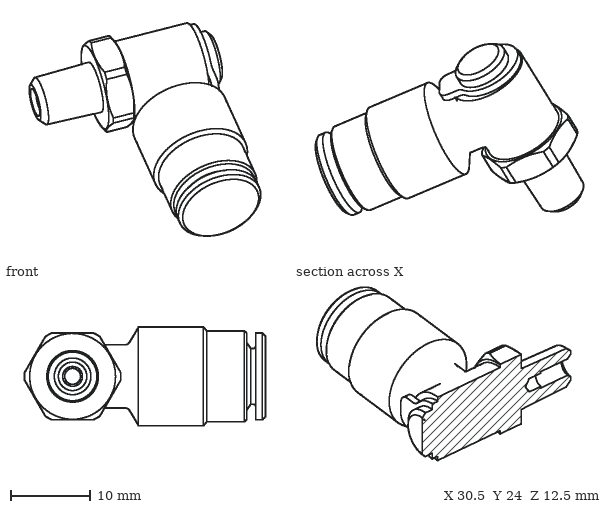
import cadquery as cq
import math


body_radius = 5.007
body_end_y = 5.05
boss_radius = 3.47
boss_end_y = 7.55
boss_chamfer_height = 0.5
boss_chamfer_width = 0.58

clip_radius = 4.38
clip_centre_x = -0.4
clip_thickness = 0.88
lug_end_x = 6.33
lug_half_width = 2.28
lug_corner_radius = 1.3
lug_root_radius = 1.05

nut_flats = 11.0
nut_corner_radius = 6.1
nut_start_y = -5.0
nut_end_y = -8.45
nut_face_radius = 5.42
nut_chamfer_height = 0.4

stem_end_y = -16.45
stem_root_radius = 3.25
stem_tip_radius = 3.07
stem_chamfer_height = 0.75
stem_face_radius = 2.3

mouth_radius = 1.8
mouth_depth = 0.55
bore_radius = 1.25
bore_depth = 4.87
pilot_radius = 1.0
pilot_depth = 6.7
drill_point_angle = 118.0

neck_radius = 8.0 / 2
neck_blend_radius = 0.4
cone_root_radius = 0.6
cone_start_x = 7.0
shoulder_x = 8.3
shell_radius = 12.5 / 2
shell_end_x = 16.5
sleeve_radius = 11.5 / 2
sleeve_start_x = 16.92
sleeve_end_x = 21.98
sleeve_chamfer = 0.3
collar_radius = 8.5 / 2
groove_radius = 7.1 / 2
groove_start_x = 22.45
groove_corner_radius = 0.25
release_ring_radius = 11.0 / 2
release_ring_start_x = 23.07
release_ring_end_x = 24.35
release_ring_chamfer = 0.43

edge_margin = 0.3


def turned_about_y(points):
    """Solid of revolution about Y from (radius, y) points."""
    return cq.Workplane("XY").polyline(points).close().revolve(360, (0, 0, 0), (0, 1, 0))


def cylinder_along_y(radius, start_y, end_y):
    return turned_about_y([(0, start_y), (radius, start_y), (radius, end_y), (0, end_y)])


def make_arm():
    profile = [
        (0, 0),
        (0, neck_radius),
        (cone_start_x, neck_radius),
        (shoulder_x, shell_radius),
        (shell_end_x, shell_radius),
        (sleeve_start_x, sleeve_radius),
        (sleeve_end_x - sleeve_chamfer, sleeve_radius),
        (sleeve_end_x, sleeve_radius - sleeve_chamfer),
        (sleeve_end_x, collar_radius),
        (groove_start_x, groove_radius),
        (release_ring_start_x, groove_radius),
        (release_ring_start_x, release_ring_radius),
        (release_ring_end_x - release_ring_chamfer, release_ring_radius),
        (release_ring_end_x, release_ring_radius - release_ring_chamfer),
        (release_ring_end_x, 0),
    ]
    arm = cq.Workplane("XY").polyline(profile).close().revolve(360, (0, 0, 0), (1, 0, 0))
    groove_corner = cq.selectors.BoxSelector(
        (release_ring_start_x - edge_margin, -groove_radius - edge_margin, -groove_radius - edge_margin),
        (release_ring_start_x + edge_margin, groove_radius + edge_margin, groove_radius + edge_margin),
        boundingbox=True,
    )
    return arm.edges(groove_corner).fillet(groove_corner_radius)


def make_body_with_arm():
    body = cylinder_along_y(body_radius, nut_start_y, body_end_y)
    joined = body.union(make_arm())
    saddle = cq.selectors.BoxSelector(
        (edge_margin, nut_start_y + edge_margin, -body_radius),
        (body_radius + edge_margin, body_end_y - edge_margin, body_radius),
        boundingbox=False,
    )
    cone_root = cq.selectors.BoxSelector(
        (cone_start_x - edge_margin, -neck_radius - edge_margin, -neck_radius - edge_margin),
        (cone_start_x + edge_margin, neck_radius + edge_margin, neck_radius + edge_margin),
        boundingbox=True,
    )
    return joined.edges(saddle).fillet(neck_blend_radius).edges(cone_root).fillet(cone_root_radius)


def make_boss():
    return turned_about_y([
        (0, body_end_y),
        (boss_radius, body_end_y),
        (boss_radius, boss_end_y - boss_chamfer_height),
        (boss_radius - boss_chamfer_width, boss_end_y),
        (0, boss_end_y),
    ])


def make_clip():
    plane = cq.Workplane("XZ", origin=(0, body_end_y, 0))
    disc = plane.center(clip_centre_x, 0).circle(clip_radius).extrude(-clip_thickness)
    lug = (
        plane.center(lug_end_x / 2, 0)
        .rect(lug_end_x, 2 * lug_half_width)
        .extrude(-clip_thickness)
        .edges("|Y and >X")
        .fillet(lug_corner_radius)
    )
    root_x = clip_centre_x + math.sqrt(clip_radius**2 - lug_half_width**2)
    roots = cq.selectors.BoxSelector(
        (root_x - edge_margin, body_end_y, -lug_half_width - edge_margin),
        (root_x + edge_margin, body_end_y + clip_thickness, lug_half_width + edge_margin),
    )
    clip = disc.union(lug)
    return clip.edges("|Y").edges(roots).fillet(lug_root_radius)


def make_nut():
    hexagon = (
        cq.Workplane("XZ", origin=(0, nut_start_y, 0))
        .polygon(6, nut_flats / math.cos(math.pi / 6))
        .extrude(nut_start_y - nut_end_y)
    )
    envelope = turned_about_y([
        (0, nut_end_y),
        (nut_face_radius, nut_end_y),
        (nut_corner_radius, nut_end_y + nut_chamfer_height),
        (nut_corner_radius, nut_start_y - nut_chamfer_height),
        (nut_face_radius, nut_start_y),
        (0, nut_start_y),
    ])
    return hexagon.intersect(envelope)


def make_stem():
    return turned_about_y([
        (0, nut_end_y),
        (stem_root_radius, nut_end_y),
        (stem_tip_radius, stem_end_y + stem_chamfer_height),
        (stem_face_radius, stem_end_y),
        (0, stem_end_y),
    ])


def make_bore():
    point_height = pilot_radius / math.tan(math.radians(drill_point_angle / 2))
    return turned_about_y([
        (0, stem_end_y),
        (mouth_radius, stem_end_y),
        (bore_radius, stem_end_y + mouth_depth),
        (bore_radius, stem_end_y + bore_depth),
        (pilot_radius, stem_end_y + bore_depth),
        (pilot_radius, stem_end_y + pilot_depth),
        (0, stem_end_y + pilot_depth + point_height),
    ])


result = (
    make_body_with_arm()
    .union(make_boss())
    .union(make_clip())
    .union(make_nut())
    .union(make_stem())
    .cut(make_bore())
)